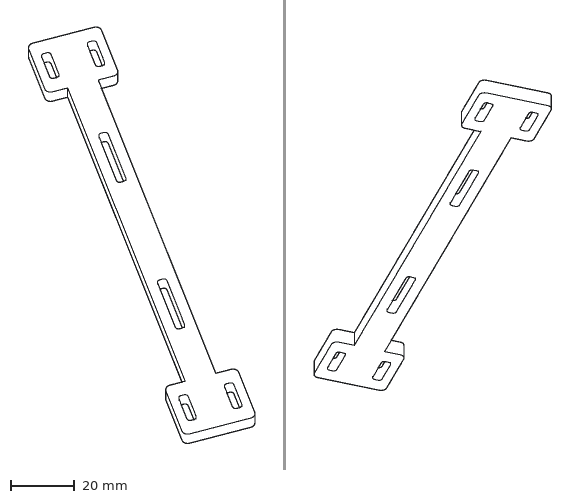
import cadquery as cq

length = 160.0
width = 24.0
thickness = 5.0

pad_length = 20.0
pad_corner_radius = 2.0
bar_width = 10.0

slot_width = 3.0
slot_corner_radius = 1.0
pad_slot_length = 10.0
pad_slot_spacing = 15.0
bar_slot_length = 20.0
bar_slot_spacing = 60.0

pad_center_x = (length - pad_length) / 2


def make_pad(center_x):
    """End pad with rounded vertical corners."""
    pad = cq.Workplane("XY").center(center_x, 0).rect(pad_length, width).extrude(thickness)
    return pad.edges("|Z").fillet(pad_corner_radius)


def make_slots(centers, slot_length):
    """Cutters for through slots at the given centers."""
    slots = cq.Workplane("XY").pushPoints(centers).rect(slot_length, slot_width).extrude(thickness)
    return slots.edges("|Z").fillet(slot_corner_radius)


bar = cq.Workplane("XY").rect(2 * pad_center_x, bar_width).extrude(thickness)
body = bar.union(make_pad(-pad_center_x)).union(make_pad(pad_center_x))

pad_slot_centers = [
    (side_x * pad_center_x, side_y * pad_slot_spacing / 2)
    for side_x in (-1, 1)
    for side_y in (-1, 1)
]
bar_slot_centers = [(side_x * bar_slot_spacing / 2, 0) for side_x in (-1, 1)]

result = body.cut(make_slots(pad_slot_centers, pad_slot_length))
result = result.cut(make_slots(bar_slot_centers, bar_slot_length))